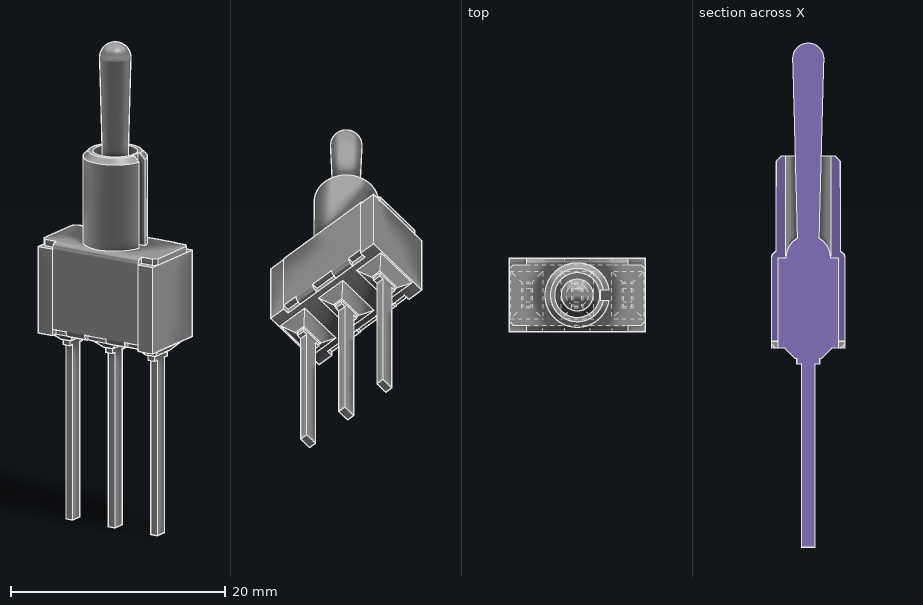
import cadquery as cq
import math


total_height = 47.1
length = 12.7
width = 6.9
housing_bottom = 18.6
housing_height = 8.45
housing_top = housing_bottom + housing_height

sheet = 0.6
plate_top = housing_top + sheet
plate_width = width - 2 * sheet
plate_corner_chamfer = 0.4
tab_length = 9.5
hook_length = 2.05
hook_spacing = 4.45

bushing_diameter = 6.05
bushing_height = 8.9
bushing_top = plate_top + bushing_height
bushing_chamfer = 0.5
bore_diameter = 4.2
keyway_width = 1.0
keyway_wall = 0.1

lever_tip_diameter = 2.95
lever_base_diameter = 2.0

terminal_count = 3
terminal_pitch = 4.7
terminal_thickness = 0.75
terminal_width = 1.25
shoulder_width = 2.15
shoulder_height = 0.5
seal_height = 1.0
seal_rim = 0.15


def block(size_x, size_y, bottom, top):
    """Box centred on X = Y = 0 between two heights."""
    return cq.Workplane("XY").workplane(offset=bottom).rect(size_x, size_y).extrude(top - bottom)


def cylinder(diameter, bottom, top):
    """Upright cylinder on the Z axis between two heights."""
    return cq.Workplane("XY").workplane(offset=bottom).circle(diameter / 2).extrude(top - bottom)


def make_lever():
    """Tapered lever with a round tip, rising from a dome that fits the bushing bore."""
    tip_radius = lever_tip_diameter / 2
    tip_centre = total_height - tip_radius
    arc_point = tip_radius * math.sqrt(0.5)
    lever = (
        cq.Workplane("XZ")
        .moveTo(0, housing_top)
        .lineTo(lever_base_diameter / 2, housing_top)
        .lineTo(tip_radius, tip_centre)
        .threePointArc((arc_point, tip_centre + arc_point), (0, total_height))
        .close()
        .revolve(360, (0, 0), (0, 1))
    )
    ball = cq.Workplane("XY").sphere(bore_diameter / 2).translate((0, 0, housing_top))
    dome = ball.intersect(cylinder(bore_diameter, housing_top, bushing_top))
    return lever.union(dome)


def make_terminal():
    """Flat terminal with a wider shoulder, and the flared seal it leaves the housing through."""
    seal_bottom = housing_bottom - seal_height
    shoulder_bottom = seal_bottom - shoulder_height
    blade = block(terminal_thickness, terminal_width, 0, shoulder_bottom)
    shoulder = block(terminal_thickness, shoulder_width, shoulder_bottom, seal_bottom)
    seal_length = terminal_thickness + 2 * seal_rim
    seal_width = shoulder_width + 2 * seal_rim
    flare = 2 * seal_height
    seal = (
        cq.Workplane("XY")
        .workplane(offset=seal_bottom)
        .rect(seal_length, seal_width)
        .workplane(offset=seal_height)
        .rect(seal_length + flare, seal_width + flare)
        .loft(ruled=True)
    )
    return blade.union(shoulder).union(seal)


def make_housing():
    """Housing with full-height recesses for the frame tabs, its three terminals and the lever."""
    corners = block(length, width, housing_bottom, housing_top)
    recesses = block(tab_length, width, housing_bottom, housing_top)
    core = block(tab_length, plate_width, housing_bottom, housing_top)
    housing = corners.cut(recesses).union(core)
    terminal = make_terminal()
    for index in range(terminal_count):
        x = (index - (terminal_count - 1) / 2) * terminal_pitch
        housing = housing.union(terminal.translate((x, 0, 0)))
    return housing.union(make_lever())


def make_tabs():
    """Pair of side tabs bent down from the plate, each with two hooks curling under."""
    tabs = (
        block(tab_length, width, housing_bottom + sheet, plate_top)
        .edges("|X and >Z")
        .fillet(sheet)
    )
    hook = (
        block(hook_length, width, housing_bottom, plate_top - sheet)
        .edges("|X and <Z")
        .fillet(sheet)
    )
    for side in (-1, 1):
        tabs = tabs.union(hook.translate((side * hook_spacing / 2, 0, 0)))
    inside = block(length, plate_width, housing_bottom, plate_top)
    return tabs.cut(inside)


def make_bushing():
    """Bushing with a chamfered rim and a keyway down its +X side."""
    bushing = cylinder(bushing_diameter, plate_top - sheet / 2, bushing_top)
    bushing = bushing.faces(">Z").chamfer(bushing_chamfer)
    keyway_start = bore_diameter / 2 + keyway_wall
    keyway = (
        block(bushing_diameter, keyway_width, plate_top, bushing_top)
        .translate((keyway_start + bushing_diameter / 2, 0, 0))
    )
    return bushing.cut(keyway)


def make_frame():
    """Plate, side tabs and bushing as one piece, bored through for the lever."""
    plate = block(length, plate_width, housing_top, plate_top)
    plate = plate.edges("|Z").chamfer(plate_corner_chamfer)
    frame = plate.union(make_tabs()).union(make_bushing())
    return frame.cut(cylinder(bore_diameter, housing_top, bushing_top))


housing = make_housing()
frame = make_frame()
result = cq.Compound.makeCompound([housing.val(), frame.val()])